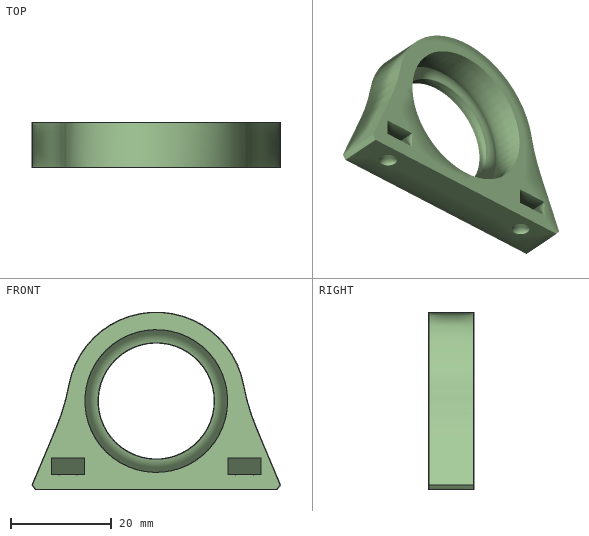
import cadquery as cq
import math

base_length = 49.2
thickness = 9.0
height = 35.2

crown_radius = 17.6
blend_radius = 41.05
blend_start_angle = 10.4
corner_width = 0.7
corner_height = 0.95

bore_diameter = 23.0
seat_diameter = 28.3
rear_lip = 2.0
bore_height = height - crown_radius

pocket_spacing = 35.0
pocket_width = 6.5
pocket_height = 3.25
pocket_floor = 3.0
screw_diameter = 3.5
screw_setback = 3.5
pocket_depth = screw_setback + pocket_width / 2


def polar(center, radius, angle):
    """Point at an angle in radians around a center."""
    return (center[0] + radius * math.cos(angle), center[1] + radius * math.sin(angle))


def make_body():
    """Arched outline with concave shoulders running tangent into straight sides."""
    half_length = base_length / 2
    crown_center = (0, bore_height)
    start_angle = math.radians(blend_start_angle)
    blend_center = polar(crown_center, crown_radius + blend_radius, start_angle)
    blend_start = polar(crown_center, crown_radius, start_angle)

    corner = (half_length, corner_height)
    run = corner[0] - blend_center[0]
    drop = corner[1] - blend_center[1]
    to_corner = math.atan2(drop, run)
    end_angle = to_corner - math.acos(blend_radius / math.hypot(run, drop)) + 2 * math.pi
    blend_end = polar(blend_center, blend_radius, end_angle)
    blend_middle = polar(blend_center, blend_radius, (math.pi + start_angle + end_angle) / 2)

    def mirrored(point):
        return (-point[0], point[1])

    foot = (half_length - corner_width, 0)
    return (
        cq.Workplane("XZ")
        .moveTo(*mirrored(foot))
        .lineTo(*foot)
        .lineTo(*corner)
        .lineTo(*blend_end)
        .threePointArc(blend_middle, blend_start)
        .threePointArc((0, height), mirrored(blend_start))
        .threePointArc(mirrored(blend_middle), mirrored(blend_end))
        .lineTo(*mirrored(corner))
        .close()
        .extrude(-thickness)
    )


def cut_bore(body):
    """Through bore with a larger seat that leaves a lip at the rear."""
    bore_plane = cq.Workplane("XZ").center(0, bore_height)
    bore = bore_plane.circle(bore_diameter / 2).extrude(-thickness)
    seat = bore_plane.circle(seat_diameter / 2).extrude(rear_lip - thickness)
    return body.cut(bore).cut(seat)


def cut_mount(body, x):
    """Nut pocket open to the front, with a vertical screw hole up to its floor."""
    pocket = cq.Workplane("XY").box(
        pocket_width, pocket_depth, pocket_height, centered=(True, False, False)
    ).translate((x, 0, pocket_floor))
    screw_hole = (
        cq.Workplane("XY").center(x, screw_setback).circle(screw_diameter / 2).extrude(pocket_floor)
    )
    return body.cut(pocket).cut(screw_hole)


result = cut_bore(make_body())
for side in (-1, 1):
    result = cut_mount(result, side * pocket_spacing / 2)